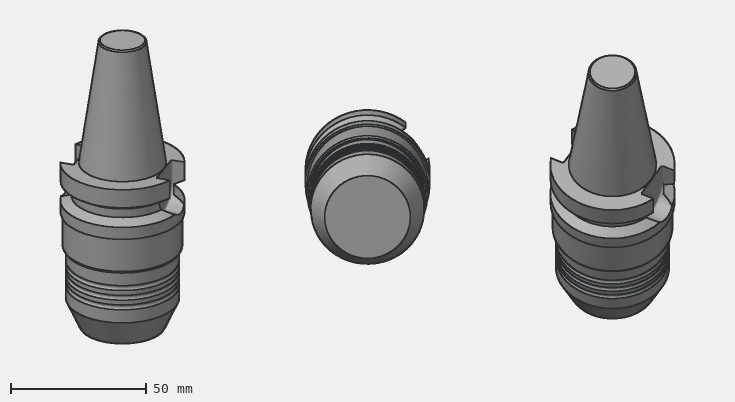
import cadquery as cq

total_height = 117.4
nose_chamfer_top = 1.0
nose_cone_top = 10.5
nut_bottom = 11.2
first_groove_bottom = 16.5
groove_width = 2.0
groove_pitch = 4.0
groove_count = 3
body_bottom = 32.0
body_chamfer_top = 33.0
flange_bottom = 46.6
lower_rim_top = 51.5
neck_bottom = 53.7
neck_top = 57.2
upper_rim_bottom = 59.6
flange_top = 67.0

nose_radius = 15.8
nose_cone_small_radius = 16.4
nose_cone_large_radius = 20.7
nut_radius = 42.0 / 2
groove_depth = 0.6
body_radius = 44.5 / 2
body_chamfer = 0.6
flange_radius = 46.0 / 2
neck_radius = 19.0
taper_large_radius = 16.2
taper_small_radius = 8.9
taper_end_chamfer = 0.6

slot_width = 16.1
slot_floor = 16.3
slot_bottom = 50.0
slot_floor_fillet = 0.7


def make_body():
    """Revolve the holder's outer profile (radius, height) about Z."""
    profile = [
        (0, 0),
        (nose_radius, 0),
        (nose_cone_small_radius, nose_chamfer_top),
        (nose_cone_large_radius, nose_cone_top),
        (nut_radius, nut_bottom),
        (nut_radius, body_bottom),
        (body_radius - body_chamfer, body_bottom),
        (body_radius, body_chamfer_top),
        (body_radius, flange_bottom),
        (flange_radius, flange_bottom),
        (flange_radius, lower_rim_top),
        (neck_radius, neck_bottom),
        (neck_radius, neck_top),
        (flange_radius, upper_rim_bottom),
        (flange_radius, flange_top),
        (taper_large_radius, flange_top),
        (taper_small_radius, total_height - taper_end_chamfer),
        (taper_small_radius - taper_end_chamfer, total_height),
        (0, total_height),
    ]
    return cq.Workplane("XZ").polyline(profile).close().revolve(360, (0, 0), (0, 1))


def make_groove(bottom):
    """Ring with a rounded bottom that cuts one grip groove into the nut."""
    deepest_point = (nut_radius - groove_depth, bottom + groove_width / 2)
    return (
        cq.Workplane("XZ")
        .moveTo(nut_radius, bottom)
        .threePointArc(deepest_point, (nut_radius, bottom + groove_width))
        .close()
        .revolve(360, (0, 0), (0, 1))
    )


def make_slot():
    """Round-ended cutter for the +X slot, with its floor corner filleted."""
    half_width = slot_width / 2
    arc_center = slot_bottom + half_width
    cutter_top = flange_top + slot_width
    cutter = (
        cq.Workplane("YZ", origin=(slot_floor, 0, 0))
        .moveTo(-half_width, cutter_top)
        .lineTo(-half_width, arc_center)
        .threePointArc((0, slot_bottom), (half_width, arc_center))
        .lineTo(half_width, cutter_top)
        .close()
        .extrude(flange_radius)
    )
    cutter = cutter.faces("<X").edges().fillet(slot_floor_fillet)
    keep = cq.Workplane("XY").box(4 * flange_radius, slot_width, flange_top, centered=(True, True, False))
    return cutter.intersect(keep)


result = make_body()
for index in range(groove_count):
    result = result.cut(make_groove(first_groove_bottom + index * groove_pitch))

slot = make_slot()
for angle in (0, 180):
    result = result.cut(slot.rotate((0, 0, 0), (0, 0, 1), angle))